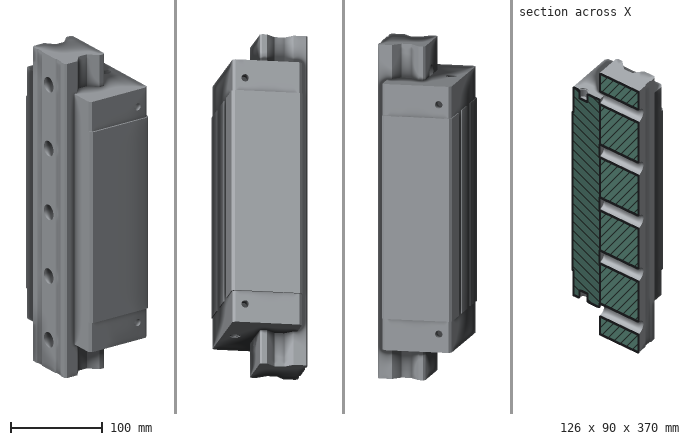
import cadquery as cq

RAIL_LENGTH = 370.0
RAIL_HALF_WIDTH = 31.5
RAIL_HEIGHT = 53.0
RAIL_CHAMFER = 2.05
NECK_HALF_WIDTH = 21.5
FOOT_TOP = 16.0
NECK_BOTTOM = 24.5
NECK_TOP = 35.5
HEAD_BOTTOM = 45.5
RELIEF_INNER = 13.0
RELIEF_OUTER = 22.5
RELIEF_DEPTH = 1.0

BOLT_DIAMETER = 17.8
BOLT_PITCH = 75.0
BOLT_COUNT = 5

OVERALL_HEIGHT = 90.0
CARRIAGE_FRONT = 12.0
CARRIAGE_LENGTH = 295.0
BLOCK_LENGTH = 225.0
BLOCK_WIDTH = 126.0
CAP_WIDTH = 122.0
CAP_SETBACK = 1.0
EDGE_CHAMFER = 3.0
BACK_GROOVE_INNER = 13.0
BACK_GROOVE_OUTER = 28.0

PORT_Y = 75.0
SIDE_PORT_DIAMETER = 8.0
SIDE_PORT_INSET = 20.5
PORT_DEPTH = 11.0
END_PORT_DIAMETER = 10.5
END_RECESS_DIAMETER = 12.2
END_RECESS_DEPTH = 1.0


def make_rail_envelope():
    """Rail bar without its bolt holes and front relief grooves."""
    half_outline = [
        (RAIL_HALF_WIDTH - RAIL_CHAMFER, 0),
        (RAIL_HALF_WIDTH, RAIL_CHAMFER),
        (RAIL_HALF_WIDTH, FOOT_TOP),
        (NECK_HALF_WIDTH, NECK_BOTTOM),
        (NECK_HALF_WIDTH, NECK_TOP),
        (RAIL_HALF_WIDTH, HEAD_BOTTOM),
        (RAIL_HALF_WIDTH, RAIL_HEIGHT - RAIL_CHAMFER),
        (RAIL_HALF_WIDTH - RAIL_CHAMFER, RAIL_HEIGHT),
    ]
    mirrored = [(-x, y) for x, y in reversed(half_outline)]
    return (
        cq.Workplane("XY")
        .polyline(half_outline + mirrored)
        .close()
        .extrude(RAIL_LENGTH / 2, both=True)
    )


def make_rail():
    relief = (
        cq.Workplane("XY")
        .polyline([
            (RELIEF_INNER, 0),
            (RELIEF_INNER + RELIEF_DEPTH, RELIEF_DEPTH),
            (RELIEF_OUTER - RELIEF_DEPTH, RELIEF_DEPTH),
            (RELIEF_OUTER, 0),
        ])
        .close()
        .extrude(RAIL_LENGTH / 2, both=True)
    )
    bolt_holes = (
        cq.Workplane("XZ")
        .rarray(3.7, BOLT_PITCH, 1, BOLT_COUNT)
        .circle(BOLT_DIAMETER / 2)
        .extrude(-RAIL_HEIGHT)
    )
    return make_rail_envelope().cut(relief).cut(relief.mirror("YZ")).cut(bolt_holes)


def chamfered_bar(width, back, length):
    """Bar along Z from the carriage front to the given back, with its long edges chamfered."""
    return (
        cq.Workplane("XY")
        .center(0, (CARRIAGE_FRONT + back) / 2)
        .rect(width, back - CARRIAGE_FRONT)
        .extrude(length / 2, both=True)
        .edges("|Z")
        .chamfer(EDGE_CHAMFER)
    )


def make_side_port(side, end):
    """Blind port in one side of one cap; side and end are -1 or 1."""
    mouth = cq.Vector(side * CAP_WIDTH / 2, PORT_Y, end * (CARRIAGE_LENGTH / 2 - SIDE_PORT_INSET))
    return cq.Solid.makeCylinder(SIDE_PORT_DIAMETER / 2, PORT_DEPTH, mouth, cq.Vector(-side, 0, 0))


def make_end_port(end):
    """Stepped blind port in the outer end of one cap; end is -1 or 1."""
    mouth = cq.Vector(0, PORT_Y, end * CARRIAGE_LENGTH / 2)
    inward = cq.Vector(0, 0, -end)
    bore = cq.Solid.makeCylinder(END_PORT_DIAMETER / 2, PORT_DEPTH, mouth, inward)
    recess = cq.Solid.makeCylinder(END_RECESS_DIAMETER / 2, END_RECESS_DEPTH, mouth, inward)
    return bore.fuse(recess)


def make_block():
    """Middle of the carriage, with two grooves in its back that reach down to the cap level."""
    groove_width = BACK_GROOVE_OUTER - BACK_GROOVE_INNER
    groove_center = (BACK_GROOVE_OUTER + BACK_GROOVE_INNER) / 2
    grooves = (
        cq.Workplane("XY")
        .pushPoints([(-groove_center, OVERALL_HEIGHT), (groove_center, OVERALL_HEIGHT)])
        .rect(groove_width, 2 * CAP_SETBACK)
        .extrude(BLOCK_LENGTH / 2, both=True)
    )
    return chamfered_bar(BLOCK_WIDTH, OVERALL_HEIGHT, BLOCK_LENGTH).cut(grooves)


def make_carriage():
    caps = chamfered_bar(CAP_WIDTH, OVERALL_HEIGHT - CAP_SETBACK, CARRIAGE_LENGTH)
    carriage = make_block().union(caps).cut(make_rail_envelope())
    for end in (-1, 1):
        carriage = carriage.cut(cq.Workplane(make_end_port(end)))
        for side in (-1, 1):
            carriage = carriage.cut(cq.Workplane(make_side_port(side, end)))
    return carriage


rail = make_rail()
carriage = make_carriage()

result = cq.Compound.makeCompound([rail.val(), carriage.val()])